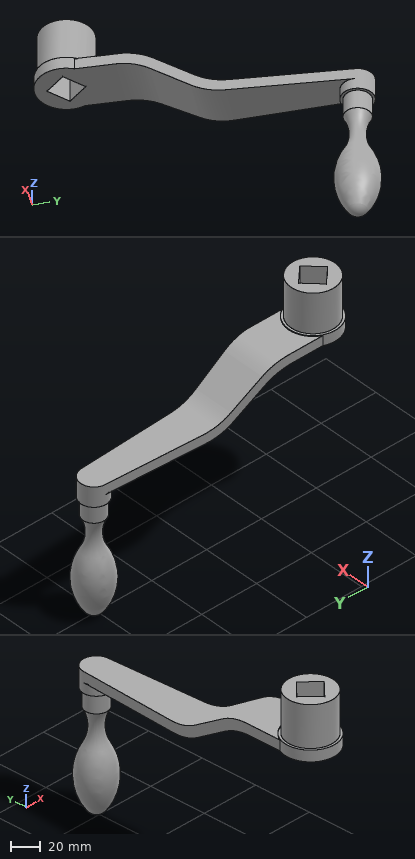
import cadquery as cq
import math

hub_diameter = 40.0
hub_height = 34.8
collar_diameter = 44.0
collar_height = 9.5
square_side = 18.8

arm_thickness = 8.8
arm_length = 199.8
arm_drop = 31.2
arm_hub_width = hub_diameter
arm_end_diameter = 24.0
taper_start = 44.8
bend_angle = 32.5
bend_radius = 44.0
upper_bend_start = 40.0

shoulder_diameter = 24.0
shoulder_height = 8.5
grip_diameter = 20.0
grip_height = 15.2
neck_diameter = 12.0
neck_height = 30.0
bulb_diameter = 32.6
overall_height = 184.0

hub_top = collar_height + hub_height
arm_top = arm_thickness
arm_end_top = arm_top - arm_drop
shoulder_top = arm_end_top - arm_thickness
shoulder_bottom = shoulder_top - shoulder_height
grip_bottom = shoulder_bottom - grip_height
bulb_top = grip_bottom - neck_height
handle_bottom = hub_top - overall_height


def bent_edge(upper_corner, lower_corner):
    """Points of one bent edge: tangent point, arc middle and tangent point of both bends."""
    angle = math.radians(bend_angle)
    half = angle / 2
    tangent_length = bend_radius * math.tan(half)
    upper_start = upper_corner[0] - tangent_length
    lower_end = lower_corner[0] + tangent_length

    def along_bend(turn):
        return bend_radius * math.sin(turn), bend_radius * (1 - math.cos(turn))

    upper = []
    lower = []
    for turn in (0, half, angle):
        run, fall = along_bend(turn)
        upper.append((upper_start + run, upper_corner[1] - fall))
        lower.insert(0, (lower_end - run, lower_corner[1] + fall))
    return upper + lower


def make_arm():
    angle = math.radians(bend_angle)
    upper_y = upper_bend_start + bend_radius * math.tan(angle / 2)
    lower_y = upper_y + arm_drop / math.tan(angle)
    shift = arm_thickness * math.tan(angle / 2)
    hub_half = arm_hub_width / 2
    end_half = arm_end_diameter / 2
    reach = arm_length + end_half
    top = bent_edge((upper_y, arm_top), (lower_y, arm_end_top))
    bottom = bent_edge((upper_y - shift, 0), (lower_y - shift, shoulder_top))

    side_profile = (
        cq.Workplane("YZ")
        .moveTo(0, arm_top)
        .lineTo(*top[0])
        .threePointArc(top[1], top[2])
        .lineTo(*top[3])
        .threePointArc(top[4], top[5])
        .lineTo(reach, arm_end_top)
        .lineTo(reach, shoulder_top)
        .lineTo(*bottom[5])
        .threePointArc(bottom[4], bottom[3])
        .lineTo(*bottom[2])
        .threePointArc(bottom[1], bottom[0])
        .lineTo(0, 0)
        .close()
        .extrude(hub_half, both=True)
    )

    plan_profile = (
        cq.Workplane("XY", origin=(0, 0, shoulder_top))
        .moveTo(-hub_half, 0)
        .lineTo(hub_half, 0)
        .lineTo(hub_half, taper_start)
        .lineTo(end_half, arm_length)
        .threePointArc((0, reach), (-end_half, arm_length))
        .lineTo(-hub_half, taper_start)
        .close()
        .extrude(arm_top - shoulder_top)
    )
    return side_profile.intersect(plan_profile)


def make_hub():
    collar = cq.Workplane("XY").circle(collar_diameter / 2).extrude(collar_height)
    barrel = cq.Workplane("XY").circle(hub_diameter / 2).extrude(hub_top)
    return collar.union(barrel)


def make_square_hole():
    square = cq.Workplane("XY").rect(square_side, square_side).extrude(hub_top)
    return square.rotate((0, 0, 0), (0, 0, 1), 45)


def make_handle():
    grip_radius = grip_diameter / 2
    shoulder_radius = shoulder_diameter / 2
    bulb_radius = bulb_diameter / 2
    neck_middle = (neck_diameter / 2, (grip_bottom + bulb_top) / 2)

    neck_depth = grip_radius - neck_diameter / 2
    end_slope = 2 * math.atan(neck_depth / (neck_height / 2))
    flank_radius = (bulb_radius - grip_radius) / (1 - math.cos(end_slope))
    flank_center_r = bulb_radius - flank_radius
    widest_z = bulb_top - flank_radius * math.sin(end_slope)

    depth = widest_z - handle_bottom
    tip_radius = (flank_radius**2 - flank_center_r**2 - depth**2) / (2 * (flank_radius - depth))
    tip_center_z = handle_bottom + tip_radius
    tip_slope = math.atan2(widest_z - tip_center_z, -flank_center_r)
    tip_edge = (tip_radius * math.cos(tip_slope), tip_center_z - tip_radius * math.sin(tip_slope))
    middle_slope = (tip_slope + math.pi / 2) / 2
    tip_middle = (tip_radius * math.cos(middle_slope), tip_center_z - tip_radius * math.sin(middle_slope))

    return (
        cq.Workplane("XZ")
        .moveTo(0, shoulder_top)
        .lineTo(shoulder_radius, shoulder_top)
        .lineTo(shoulder_radius, shoulder_bottom)
        .lineTo(grip_radius, shoulder_bottom)
        .lineTo(grip_radius, grip_bottom)
        .threePointArc(neck_middle, (grip_radius, bulb_top))
        .threePointArc((bulb_radius, widest_z), tip_edge)
        .threePointArc(tip_middle, (0, handle_bottom))
        .close()
        .revolve(360, (0, 0, 0), (0, 1, 0))
        .translate((0, arm_length, 0))
    )


result = make_arm().union(make_hub()).union(make_handle()).cut(make_square_hole())